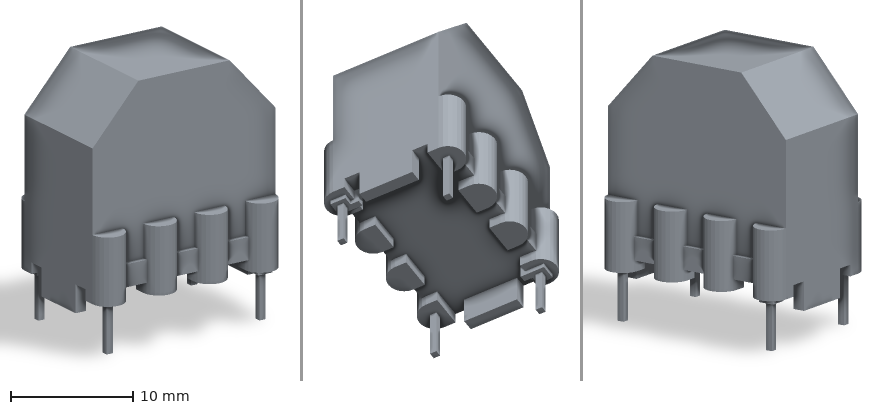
import cadquery as cq
import math


case_width = 10.0
case_length = 18.0
case_top = 23.0
case_bottom = 5.5
shoulder_height = 18.0
roof_length = 9.0

flange_overhang = 0.41
flange_height = 2.0
flange_end_gap = 1.0

leg_bottom = 3.0
leg_width = 5.0
leg_thickness = 1.05

post_radius = 1.5
post_facets = 12
post_bottom = 4.5
post_height = 6.0
post_inner_x = 3.93
posts_per_side = 4

pin_size = 0.6
plain_pin_setback = 0.1
pad_size = 1.43
strip_thickness = 0.41

post_x = case_width / 2
corner_y = case_length / 2 - post_radius
post_pitch = 2 * corner_y / (posts_per_side - 1)
flange_width = case_width + 2 * flange_overhang
flange_length = case_length - 2 * flange_end_gap


def box(x_range, y_range, z_range):
    """Axis-aligned box; each range holds two limits in either order."""
    ranges = [sorted(limits) for limits in (x_range, y_range, z_range)]
    size = [high - low for low, high in ranges]
    corner = tuple(low for low, high in ranges)
    return cq.Workplane("XY").box(*size, centered=False).translate(corner)


def around(centre, size):
    """Limits of a length centred on a place."""
    return (centre - size / 2, centre + size / 2)


def make_block():
    """House-shaped block, level on top and sloped at both ends."""
    half_length = case_length / 2
    half_roof = roof_length / 2
    outline = [
        (-half_length, case_bottom),
        (half_length, case_bottom),
        (half_length, shoulder_height),
        (half_roof, case_top),
        (-half_roof, case_top),
        (-half_length, shoulder_height),
    ]
    return cq.Workplane("YZ").polyline(outline).close().extrude(case_width / 2, both=True)


def make_flange():
    """Low plate that stands out from both sides of the block."""
    return box(
        around(0, flange_width),
        around(0, flange_length),
        (case_bottom, case_bottom + flange_height),
    )


def make_leg(end):
    """Leg flush with one end of the block; end is -1 or +1 along Y."""
    outer_y = end * case_length / 2
    return box(
        around(0, leg_width),
        (outer_y, outer_y - end * leg_thickness),
        (leg_bottom, case_bottom),
    )


def make_post(side, y):
    """Post with a faceted half-round outer face; side is -1 or +1 along X."""
    angles = [math.pi * (step / post_facets - 0.5) for step in range(post_facets + 1)]
    rim = [(side * (post_x + post_radius * math.cos(a)), post_radius * math.sin(a)) for a in angles]
    inner_edge = [(side * post_inner_x, post_radius), (side * post_inner_x, -post_radius)]
    outline = cq.Workplane("XY", origin=(0, y, post_bottom)).polyline(rim + inner_edge).close()
    return outline.extrude(post_height)


def make_case():
    """Block, flange, legs and posts in one piece."""
    case = make_block().union(make_flange())
    for end in (-1, 1):
        case = case.union(make_leg(end))
    for side in (-1, 1):
        for index in range(posts_per_side):
            case = case.union(make_post(side, -corner_y + index * post_pitch))
    return case


def make_plain_pin(side, y, tip):
    """Square pin from its tip up to the underside of a post."""
    return box(around(side * post_x, pin_size), around(y, pin_size), (tip, post_bottom))


def make_strip_pin(corner):
    """Square pin with a pad under the post and an arm bent up the inner face of the post.

    The pin stands at the corner where X and Y both have the sign of corner (-1 or +1).
    """
    pin_x = corner * post_x
    pin_y = corner * corner_y
    strip_bottom = post_bottom - strip_thickness
    pad = box(around(pin_x, pad_size), around(pin_y, pad_size), (strip_bottom, post_bottom))

    pad_edge_y = pin_y - corner * pad_size / 2
    arm_y = (pad_edge_y, pad_edge_y + corner * pin_size)
    arm_outer_x = corner * post_inner_x
    arm_inner_x = arm_outer_x - corner * strip_thickness
    foot = box((arm_inner_x, pin_x), arm_y, (strip_bottom, post_bottom))
    riser = box((arm_inner_x, arm_outer_x), arm_y, (strip_bottom, case_bottom))

    return make_plain_pin(corner, pin_y, 0).union(pad).union(foot).union(riser)


case = make_case()

strip_pins = [make_strip_pin(corner) for corner in (-1, 1)]
plain_pins = [
    make_plain_pin(side, -side * corner_y, tip)
    for side, tip in ((1, 0), (-1, plain_pin_setback))
]

pins = [pin.val() for pin in strip_pins + plain_pins]
result = cq.Compound.makeCompound([case.val(), *pins])